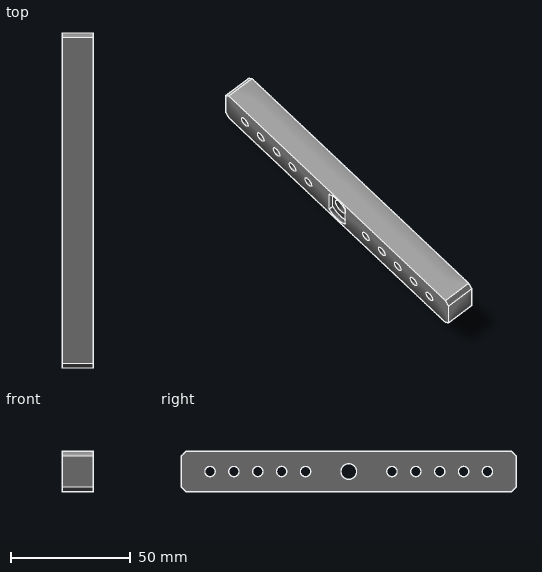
import cadquery as cq

bar_width = 13.0
bar_length = 140.0
bar_height = 17.0
end_chamfer = 2.0

holes_per_side = 5
hole_diameter = 4.2
first_hole_offset = 18.0
last_hole_offset = 58.0
hole_pitch = (last_hole_offset - first_hole_offset) / (holes_per_side - 1)

bore_diameter = 6.5
recess_diameter = 15.0
recess_width = 10.0
recess_depth = 2.0


def chamfered_bar():
    """Bar centred on the origin, with the top and bottom edges of both ends chamfered."""
    bar = cq.Workplane("XY").box(bar_width, bar_length, bar_height)
    return bar.faces("<Y or >Y").edges("|X").chamfer(end_chamfer)


def cross_cylinder(diameter, depth, y=0.0):
    """Cylinder along X that starts on the -X face at mid height."""
    return (
        cq.Workplane("YZ", origin=(-bar_width / 2, y, 0))
        .circle(diameter / 2)
        .extrude(depth)
    )


def recess():
    """Round recess trimmed by two flats that run along Z."""
    flats = cq.Workplane("XY").box(bar_width, recess_width, bar_height)
    return cross_cylinder(recess_diameter, recess_depth).intersect(flats)


result = chamfered_bar().cut(recess()).cut(cross_cylinder(bore_diameter, bar_width))

for side in (-1, 1):
    for index in range(holes_per_side):
        hole_y = side * (first_hole_offset + index * hole_pitch)
        result = result.cut(cross_cylinder(hole_diameter, bar_width, hole_y))